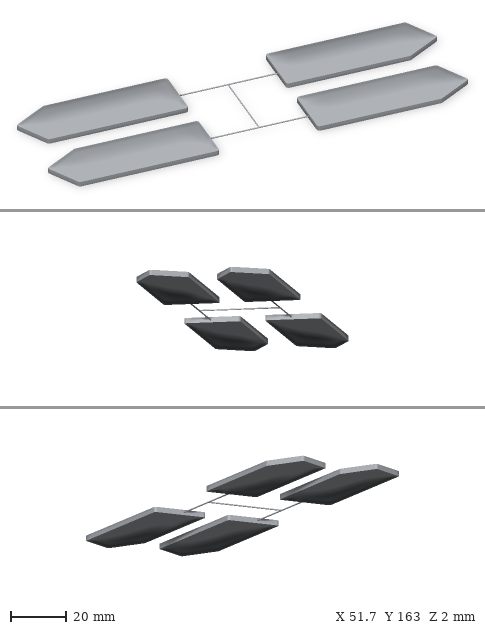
import cadquery as cq
import math

total_length = 163.0
plate_thickness = 2.0
plate_width = 20.9
plate_gap = 38.8
column_pitch = 30.0

shoulder_angle = math.radians(30)
tip_offset = 12.9
end_corner_radius = 1.06
tip_corner_radius = 0.8

back_plate_side_to_rod = 11.9
front_plate_side_to_rod = 9.8

rod_diameter = 0.5

plate_length = (total_length - plate_gap) / 2
tip_round_loss = tip_corner_radius * (math.sin(shoulder_angle) + math.cos(shoulder_angle) - 1)
sharp_tip_height = plate_length + tip_round_loss
long_side_height = sharp_tip_height - tip_offset * math.tan(shoulder_angle)
short_side_height = sharp_tip_height - (plate_width - tip_offset) / math.tan(shoulder_angle)
rod_xs = [-column_pitch / 2, column_pitch / 2]


def make_plate():
    """Pointed plate pointing to +Y, with its long side on X = 0 and its square end on Y = 0."""
    plate = (
        cq.Workplane("XY")
        .polyline(
            [
                (0, 0),
                (plate_width, 0),
                (plate_width, short_side_height),
                (tip_offset, sharp_tip_height),
                (0, long_side_height),
            ]
        )
        .close()
        .extrude(plate_thickness / 2, both=True)
    )
    plate = plate.edges("|Z").edges("not <Y").fillet(tip_corner_radius)
    return plate.edges("|Z").edges("<Y").fillet(end_corner_radius)


def make_back_plate(rod_x):
    """Plate on the +Y side of a rod, pointing to +Y."""
    return make_plate().translate((rod_x - back_plate_side_to_rod, plate_gap / 2, 0))


def make_front_plate(rod_x):
    """Plate on the -Y side of a rod, turned half round to point to -Y."""
    turned_plate = make_plate().rotate((0, 0, 0), (0, 0, 1), 180)
    return turned_plate.translate((rod_x + front_plate_side_to_rod, -plate_gap / 2, 0))


def make_rod(rod_x):
    """Round rod along Y that joins the square ends of two facing plates."""
    rod = cq.Workplane("XZ").circle(rod_diameter / 2).extrude(plate_gap / 2, both=True)
    return rod.translate((rod_x, 0, 0))


def make_crossbar(rods):
    """Round bar along X between the two rods, its ends hollowed to seat on them."""
    crossbar = cq.Workplane("YZ").circle(rod_diameter / 2).extrude(column_pitch / 2, both=True)
    for rod in rods:
        crossbar = crossbar.cut(rod)
    return crossbar


back_plates = [make_back_plate(rod_x) for rod_x in rod_xs]
front_plates = [make_front_plate(rod_x) for rod_x in rod_xs]
rods = [make_rod(rod_x) for rod_x in rod_xs]
crossbar = make_crossbar(rods)

bodies = back_plates + front_plates + rods + [crossbar]
result = cq.Compound.makeCompound([body.val() for body in bodies])